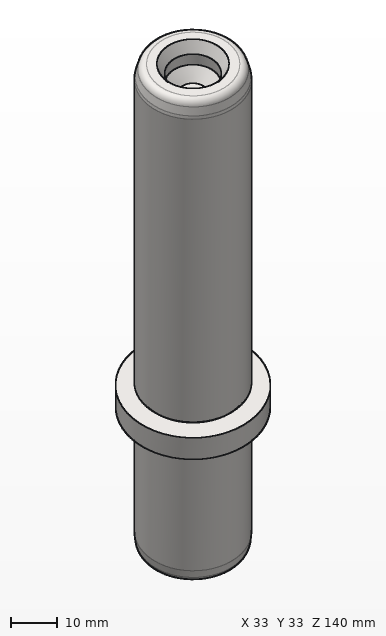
import cadquery as cq
import math

pin_length = 140.0
pin_diameter = 25.0
pin_radius = pin_diameter / 2
collar_diameter = 33.0
collar_radius = collar_diameter / 2
collar_bottom = 40.0
collar_thickness = 6.3
collar_top = collar_bottom + collar_thickness

relief_height = 0.8
relief_depth = 0.7

taper_height = 2.1
rounding_radius = 2.0
bottom_taper_angle = math.radians(5)
top_taper_angle = math.radians(15)

band_height = 0.8
band_reduction = 0.1

countersink_diameter = 15.4
counterbore_diameter = 12.0
floor_diameter = 6.5
countersink_depth = 2.8
counterbore_depth = 3.1
floor_cone_half_angle = math.radians(45)


def rounding_height(taper_angle):
    """Height of the arc that is tangent to both the flat face and the taper."""
    return rounding_radius * (1 - math.sin(taper_angle))


def tapered_end(start_radius, taper_angle, face_z, inward):
    """Points from the start of the taper to the edge of the face; inward is the Z sign into the pin."""
    taper_end_radius = start_radius - taper_height * math.tan(taper_angle)
    taper_end_z = face_z + inward * rounding_height(taper_angle)
    taper_start = (start_radius, taper_end_z + inward * taper_height)
    arc_center_radius = taper_end_radius - rounding_radius * math.cos(taper_angle)
    middle_angle = (taper_angle + math.pi / 2) / 2
    arc_middle = (
        arc_center_radius + rounding_radius * math.cos(middle_angle),
        face_z + inward * rounding_height(middle_angle),
    )
    return taper_start, (taper_end_radius, taper_end_z), arc_middle, (arc_center_radius, face_z)


def turned_body():
    neck_radius = pin_radius - relief_depth
    band_radius = pin_radius - band_reduction
    bottom_start, bottom_end, bottom_middle, bottom_face = tapered_end(
        pin_radius, bottom_taper_angle, 0, 1
    )
    top_start, top_end, top_middle, top_face = tapered_end(
        band_radius, top_taper_angle, pin_length, -1
    )
    band_bottom = top_start[1] - band_height
    return (
        cq.Workplane("XZ")
        .moveTo(0, 0)
        .lineTo(*bottom_face)
        .threePointArc(bottom_middle, bottom_end)
        .lineTo(*bottom_start)
        .lineTo(pin_radius, collar_bottom - relief_height)
        .lineTo(neck_radius, collar_bottom)
        .lineTo(collar_radius, collar_bottom)
        .lineTo(collar_radius, collar_top)
        .lineTo(neck_radius, collar_top)
        .lineTo(pin_radius, collar_top + relief_height)
        .lineTo(pin_radius, band_bottom)
        .lineTo(*top_start)
        .lineTo(*top_end)
        .threePointArc(top_middle, top_face)
        .lineTo(0, pin_length)
        .close()
        .revolve(360, (0, 0, 0), (0, 1, 0))
    )


def centre_hole():
    countersink_radius = countersink_diameter / 2
    counterbore_radius = counterbore_diameter / 2
    floor_radius = floor_diameter / 2
    counterbore_top = pin_length - countersink_depth
    cone_top = counterbore_top - counterbore_depth
    cone_depth = (counterbore_radius - floor_radius) / math.tan(floor_cone_half_angle)
    floor_z = cone_top - cone_depth
    profile = [
        (0, pin_length),
        (countersink_radius, pin_length),
        (counterbore_radius, counterbore_top),
        (counterbore_radius, cone_top),
        (floor_radius, floor_z),
        (0, floor_z),
    ]
    return cq.Workplane("XZ").polyline(profile).close().revolve(360, (0, 0, 0), (0, 1, 0))


result = turned_body().cut(centre_hole())